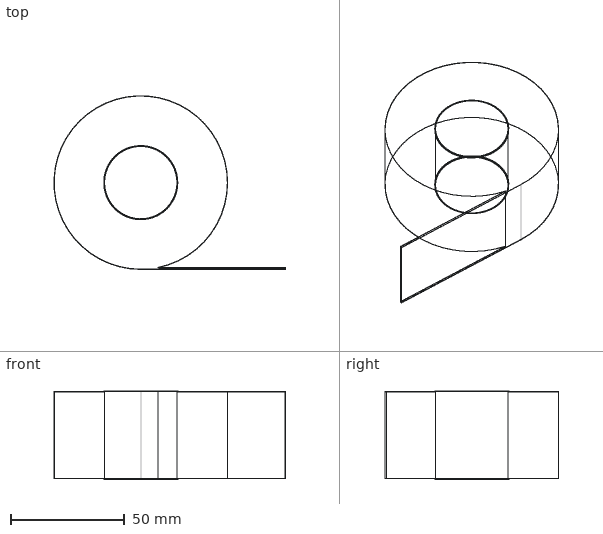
import cadquery as cq

roll_diameter = 76.2
tape_width = 38.1
roll_radius = roll_diameter / 2

core_bore_diameter = 31.75
core_wall = 0.381
core_overhang = 0.381
core_outer_diameter = core_bore_diameter + 2 * core_wall
core_length = tape_width + 2 * core_overhang

tail_length = 63.5
tail_thickness = 0.762


def make_roll():
    """Wound tape as a plain disc, centred on the Z axis."""
    return cq.Workplane("XY").circle(roll_radius).extrude(tape_width / 2, both=True)


def make_core():
    """Core cylinder, longer than the tape is wide."""
    return cq.Workplane("XY").circle(core_outer_diameter / 2).extrude(core_length / 2, both=True)


def make_tail():
    """Straight strip along +X whose outer face is tangent to the roll."""
    return cq.Workplane("XY").box(
        tail_length, tail_thickness, tape_width, centered=(False, False, True)
    ).translate((0, -roll_radius, 0))


def make_bore():
    """Through hole of the core."""
    return cq.Workplane("XY").circle(core_bore_diameter / 2).extrude(core_length, both=True)


result = make_roll().union(make_core()).union(make_tail()).cut(make_bore())